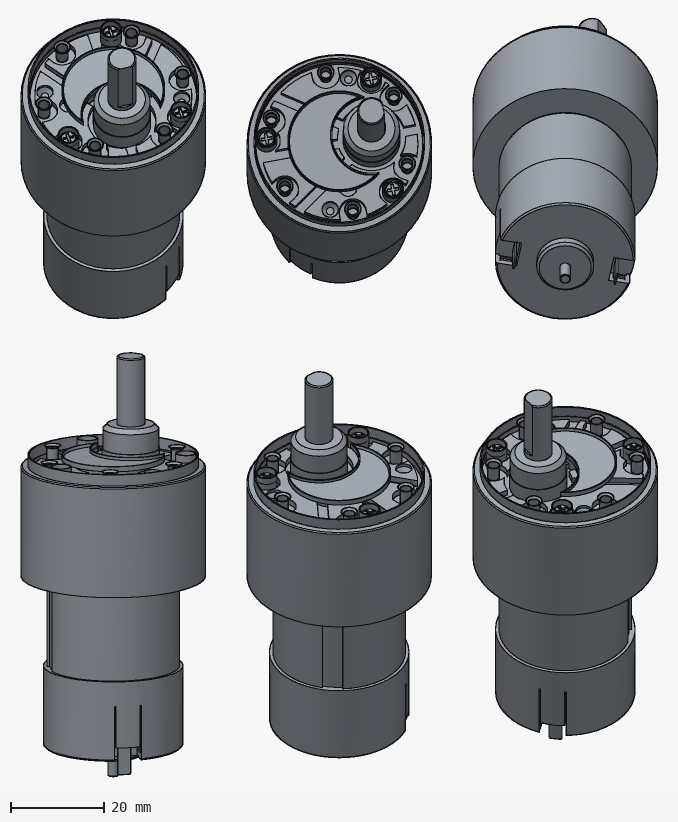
import cadquery as cq
import math

rear_bushing_bottom = 4.6
sleeve_bottom = 6.75
sleeve_top = 24.35
can_top = 43.05
gearbox_bottom = 44.1
gearbox_top = 68.4
cap_top = 70.9
bushing_top = 76.2
flat_bottom = 77.4
shaft_top = 91.2

gearbox_d = 39.6
gearbox_chamfer = 0.3
cap_d = 36.6
cap_mouth_d = 36.0
cap_recess_d = 35.75
neck_d = 27.4
can_d = 28.5
sleeve_d = 29.9
sleeve_chamfer = 0.4

shaft_x = 7.0
shaft_d = 6.0
shaft_flat_depth = 0.5
shaft_chamfer = 0.3
bushing_d = 12.0
bushing_foot_d = 12.3
bushing_chamfer = 1.0

rear_shaft_d = 2.3
rear_shaft_chamfer = 0.2
rear_bushing_d = 12.2
rear_bushing_chamfer = 0.55

can_slit_angle = 136.0
can_slit_width = 4.4

terminal_angles = (225, 45)
finger_width = 5.2
finger_slit_width = 0.4
finger_slit_top = 18.9
finger_bottom = 9.8

slot_near_r = 10.0
window_near_r = 11.0
window_far_r = 13.6
window_bottom = 8.2
window_top = 9.5
window_depth = 0.5

terminal_bottom = 2.9
terminal_r = 11.0
terminal_width = 2.8
terminal_thickness = 0.4
terminal_corner = 0.3

floor_z = 67.0
land_top = gearbox_top
land_d = 33.65
land_bushing_gap_d = 14.6
spoke_width = 2.2
spoke_angles = (0, 145, 180, 215)
pad_d = 5.8
relief_y = -10.0
relief_d = 3.65

post_circle_r = 15.4
post_angles = (30, 90, 150, 210, 270, 330)
post_d = 2.55
post_head_d = 3.6
post_bore_d = 2.3
post_mouth_d = 3.3
post_flare = 0.5

screw_circle_r = 15.6
screw_angles = (53.3, 166.5, -53.3)
cup_d = 4.5
cup_bore_d = 4.0
cup_floor_z = 69.2
screw_head_d = 3.5
screw_top_d = 3.0
screw_top_z = 69.9
cross_length = 2.4
cross_width = 0.55
cross_depth = 0.5

dimple_circle_r = 14.7
dimple_angles = (71.5, 251.5)
dimple_d = 3.5
dimple_floor_d = 1.6
dimple_wall = 0.6
dimple_cone = 0.9

tray_d = 22.1
tray_mouth_d = 21.7
tray_floor_d = 21.3
tray_floor_z = 70.2
tray_underside_z = 69.8
tray_cutout_d = 17.6
tray_lip = 0.3
tray_stem_d = 16.4


def cylinder(diameter, bottom, top, x=0, y=0):
    return cq.Workplane("XY", origin=(x, y, bottom)).circle(diameter / 2).extrude(top - bottom)


def cone(bottom_d, top_d, bottom, top, x=0, y=0):
    lower = cq.Workplane("XY", origin=(x, y, bottom)).circle(bottom_d / 2)
    return lower.workplane(offset=top - bottom).circle(top_d / 2).loft()


def radial_box(near, far, width, bottom, top, angle, x=0, y=0, side=0):
    """Box reaching from near to far along a ray, shifted sideways off the ray by side."""
    box = cq.Workplane("XY").box(far - near, width, top - bottom, centered=(False, True, False))
    box = box.translate((near, side, bottom))
    return box.rotate((0, 0, 0), (0, 0, 1), angle).translate((x, y, 0))


def polar(radius, angle):
    return radius * math.cos(math.radians(angle)), radius * math.sin(math.radians(angle))


def make_gearbox():
    box = cylinder(gearbox_d, gearbox_bottom, gearbox_top).faces(">Z").chamfer(gearbox_chamfer)
    box = box.union(cylinder(cap_d, gearbox_bottom, cap_top))
    box = box.cut(cylinder(cap_recess_d, floor_z, cap_top))
    return box.cut(cylinder(cap_mouth_d, land_top, cap_top))


def make_lands():
    """Disc on the cap floor, split by spokes and cleared around the posts, screws and bushing."""
    lands = cylinder(land_d, floor_z, land_top)
    lands = lands.cut(cylinder(land_bushing_gap_d, floor_z, land_top, shaft_x))
    for angle in spoke_angles:
        lands = lands.cut(radial_box(0, gearbox_d, spoke_width, floor_z, land_top, angle, shaft_x))
    pads = [(post_circle_r, angle) for angle in post_angles]
    pads += [(screw_circle_r, angle) for angle in screw_angles]
    for radius, angle in pads:
        lands = lands.cut(cylinder(pad_d, floor_z, land_top, *polar(radius, angle)))
        lands = lands.cut(radial_box(radius, gearbox_d, pad_d, floor_z, land_top, angle))
    lands = lands.cut(cylinder(relief_d, floor_z, land_top, 0, relief_y))
    return lands


def make_dimple(angle):
    """Round pit with a straight wall above a conical bottom."""
    spot = polar(dimple_circle_r, angle)
    cone_top = land_top - dimple_wall
    pit = cylinder(dimple_d, cone_top, land_top, *spot)
    return pit.union(cone(dimple_floor_d, dimple_d, cone_top - dimple_cone, cone_top, *spot))


def make_tray():
    """Crescent-shaped raised dish on a stem, with a lip around the bushing side."""
    cutout = cylinder(tray_cutout_d, floor_z, cap_top, shaft_x)
    tray = cylinder(tray_d, tray_underside_z, cap_top)
    tray = tray.cut(cone(tray_floor_d, tray_mouth_d, tray_floor_z, cap_top))
    tray = tray.union(cylinder(tray_stem_d, floor_z, tray_floor_z)).cut(cutout)
    lip = cutout.cut(cylinder(tray_cutout_d - 2 * tray_lip, floor_z, cap_top, shaft_x))
    lip = lip.intersect(cylinder(tray_d, tray_underside_z, cap_top))
    return tray.union(lip)


def make_post(angle):
    """Bored post that flares out at its mouth."""
    spot = polar(post_circle_r, angle)
    flare_z = cap_top - post_flare
    post = cylinder(post_d, floor_z, flare_z, *spot)
    post = post.union(cone(post_d, post_head_d, flare_z, cap_top, *spot))
    post = post.cut(cylinder(post_bore_d, floor_z, cap_top, *spot))
    return post.cut(cone(post_bore_d, post_mouth_d, flare_z, cap_top, *spot))


def make_screw(angle):
    spot = polar(screw_circle_r, angle)
    screw = cylinder(cup_d, floor_z, cap_top, *spot)
    screw = screw.cut(cylinder(cup_bore_d, cup_floor_z, cap_top, *spot))
    screw = screw.union(cone(screw_head_d, screw_top_d, cup_floor_z, screw_top_z, *spot))
    for arm_angle in (0, 90):
        arm = radial_box(
            -cross_length / 2, cross_length / 2, cross_width,
            screw_top_z - cross_depth, screw_top_z, arm_angle, *spot,
        )
        screw = screw.cut(arm)
    return screw


def make_output_shaft():
    bushing = cylinder(bushing_d, floor_z, bushing_top, shaft_x).faces(">Z").chamfer(bushing_chamfer)
    bushing = bushing.union(cylinder(bushing_foot_d, floor_z, cap_top, shaft_x))
    shaft = cylinder(shaft_d, floor_z, shaft_top, shaft_x).faces(">Z").chamfer(shaft_chamfer)
    flat_start = shaft_d / 2 - shaft_flat_depth
    flat = radial_box(flat_start, shaft_d, shaft_d, flat_bottom, shaft_top, 0, shaft_x)
    return bushing.union(shaft.cut(flat))


def make_motor():
    can = cylinder(can_d, sleeve_bottom, can_top)
    can = can.cut(radial_box(0, can_d, can_slit_width, sleeve_top, can_top, can_slit_angle))
    motor = can.union(cylinder(neck_d, sleeve_bottom, gearbox_bottom)).union(make_sleeve())
    for angle in terminal_angles:
        motor = motor.cut(make_terminal_slot(angle)).union(make_terminal(angle))
    return motor


def make_sleeve():
    """Shell around the lower can, slit on both sides of each finger."""
    sleeve = cylinder(sleeve_d, sleeve_bottom, sleeve_top).faces("<Z").chamfer(sleeve_chamfer)
    sleeve = sleeve.cut(cylinder(can_d, sleeve_bottom, sleeve_top))
    slit_offset = (finger_width + finger_slit_width) / 2
    for angle in terminal_angles:
        for side in (-slit_offset, slit_offset):
            slit = radial_box(
                0, sleeve_d, finger_slit_width, sleeve_bottom, finger_slit_top, angle, side=side
            )
            sleeve = sleeve.cut(slit)
    return sleeve


def make_terminal_slot(angle):
    """Radial slot open at the end and rim, with a shallow window sunk in each side wall."""
    open_width = finger_width + 2 * finger_slit_width
    slot = radial_box(slot_near_r, sleeve_d, open_width, sleeve_bottom, finger_bottom, angle)
    window_width = open_width + 2 * window_depth
    window = radial_box(window_near_r, window_far_r, window_width, window_bottom, window_top, angle)
    return slot.union(window)


def make_rear_shaft():
    bushing = cylinder(rear_bushing_d, rear_bushing_bottom, sleeve_bottom)
    bushing = bushing.faces("<Z").chamfer(rear_bushing_chamfer)
    shaft = cylinder(rear_shaft_d, 0, sleeve_bottom).faces("<Z").chamfer(rear_shaft_chamfer)
    return bushing.union(shaft)


def make_terminal(angle):
    height = finger_bottom - terminal_bottom
    blade = cq.Workplane("XY").box(
        terminal_thickness, terminal_width, height, centered=(True, True, False)
    )
    blade = blade.faces("<Z").edges("|X").chamfer(terminal_corner)
    blade = blade.translate((terminal_r, 0, terminal_bottom))
    return blade.rotate((0, 0, 0), (0, 0, 1), angle)


result = make_gearbox().union(make_motor()).union(make_lands()).union(make_tray())
result = result.union(make_output_shaft()).union(make_rear_shaft())
for post_angle in post_angles:
    result = result.union(make_post(post_angle))
for screw_angle in screw_angles:
    result = result.union(make_screw(screw_angle))
for dimple_angle in dimple_angles:
    result = result.cut(make_dimple(dimple_angle))